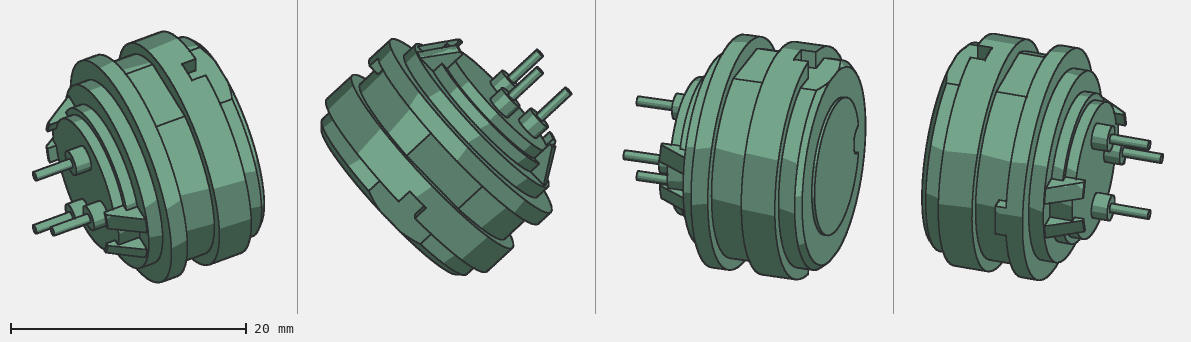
import cadquery as cq
import math


rim_radius = 10.0
flange_thickness = 1.5
body_radius = 9.0
body_flat_height = 8.42
body_length = 7.95
body_chamfer = 0.5
nut_gap = 3.0
nut_thickness = 3.0
nut_notch_width = 2.0
nut_notch_depth = 1.3
tab_height = 2.8
tab_length = 0.95

shoulder_radius = 8.25
shoulder_length = 1.3
step_radius = 6.5
step_length = 1.02
insert_radius = 5.92
insert_length = 0.98

claw_base_radius = 8.0
claw_tip_radius = 6.2
claw_length = 2.82
claw_inner_z = 1.12
claw_outer_z = 2.5

pin_circle_radius = 3.5
pin_angles = (-90, 0, 90)
collar_radius = 1.1
collar_length = 1.4
pin_radius = 0.4
pin_length = 3.4

face_height = 0.25
keyway_radius = 1.25
keyway_floor_width = 1.08

shoulder_front = -shoulder_length
step_front = shoulder_front - step_length
insert_front = step_front - insert_length
collar_front = insert_front - collar_length
body_front = flange_thickness
body_back = body_front + body_length
nut_front = body_front + nut_gap
nut_back = nut_front + nut_thickness


def cylinder(radius, y_start, y_end, x=0.0, z=0.0):
    """Cylinder parallel to Y between two stations."""
    axis = cq.Vector(0, 1, 0)
    return cq.Workplane(cq.Solid.makeCylinder(radius, y_end - y_start, cq.Vector(x, y_start, z), axis))


def block(x_range, y_range, z_range):
    """Axis-aligned box given by its limits along each axis."""
    sizes = [high - low for low, high in (x_range, y_range, z_range)]
    corner = (x_range[0], y_range[0], z_range[0])
    return cq.Workplane("XY").box(*sizes, centered=False).translate(corner)


def threaded_body():
    """Round body, chamfered at the mating end, with flats on top and bottom."""
    body = cylinder(body_radius, body_front, body_back).faces(">Y").chamfer(body_chamfer)
    limits = block(
        (-body_radius, body_radius),
        (body_front, body_back),
        (-body_flat_height, body_flat_height),
    )
    return body.intersect(limits)


def ring_nut():
    """Nut with a spanner notch above each flat of the body."""
    nut = cylinder(rim_radius, nut_front, nut_back)
    half_width = nut_notch_width / 2
    for z_range in ((body_flat_height, rim_radius), (-rim_radius, -body_flat_height)):
        nut = nut.cut(block((-half_width, half_width), (nut_back - nut_notch_depth, nut_back), z_range))
    return nut


def flange():
    """Flange with an anti-rotation tab behind it on the -X side."""
    tab_back = body_front + tab_length
    tab_zone = block((-rim_radius, 0), (body_front, tab_back), (-tab_height / 2, tab_height / 2))
    tab_ring = cylinder(rim_radius, body_front, tab_back).cut(
        cylinder(body_flat_height, body_front, tab_back)
    )
    return cylinder(rim_radius, 0, flange_thickness).union(tab_ring.intersect(tab_zone))


def nose():
    """Shoulder, step and insert, with the step running full length between the claws."""
    between_claws = cylinder(step_radius, insert_front, step_front).intersect(
        block((-step_radius, step_radius), (insert_front, step_front), (-claw_inner_z, claw_inner_z))
    )
    return (
        cylinder(shoulder_radius, shoulder_front, 0)
        .union(cylinder(step_radius, step_front, shoulder_front))
        .union(cylinder(insert_radius, insert_front, step_front))
        .union(between_claws)
    )


def claws():
    """Four tapered claws cut from a conical ring."""
    claw_tip = shoulder_front - claw_length
    ring = (
        cq.Workplane("XY")
        .moveTo(insert_radius, shoulder_front)
        .lineTo(claw_base_radius, shoulder_front)
        .lineTo(claw_tip_radius, claw_tip)
        .lineTo(insert_radius, claw_tip)
        .close()
        .revolve(360, (0, 0, 0), (0, 1, 0))
    )
    x_range = (-claw_base_radius, claw_base_radius)
    y_range = (claw_tip, shoulder_front)
    upper_band = block(x_range, y_range, (claw_inner_z, claw_outer_z))
    lower_band = block(x_range, y_range, (-claw_outer_z, -claw_inner_z))
    return ring.intersect(upper_band.union(lower_band))


def pin(angle):
    """Collared pin on the pin circle, with the angle measured from +X toward +Z."""
    x = pin_circle_radius * math.cos(math.radians(angle))
    z = pin_circle_radius * math.sin(math.radians(angle))
    collar = cylinder(collar_radius, collar_front, insert_front, x, z)
    return collar.union(cylinder(pin_radius, collar_front - pin_length, collar_front, x, z))


def insert_face():
    """Proud disc with a round, flat-bottomed keyway on the -X side."""
    face_top = body_back + face_height
    keyway_x = -math.sqrt(insert_radius**2 - keyway_radius**2)
    floor_depth = math.sqrt(keyway_radius**2 - (keyway_floor_width / 2) ** 2)
    keyway = cylinder(keyway_radius, body_back, face_top, keyway_x).intersect(
        block(
            (keyway_x - keyway_radius, keyway_x + floor_depth),
            (body_back, face_top),
            (-keyway_radius, keyway_radius),
        )
    )
    return cylinder(insert_radius, body_back, face_top).cut(keyway)


result = threaded_body()
for feature in (ring_nut(), flange(), nose(), claws(), insert_face()):
    result = result.union(feature)
for pin_angle in pin_angles:
    result = result.union(pin(pin_angle))